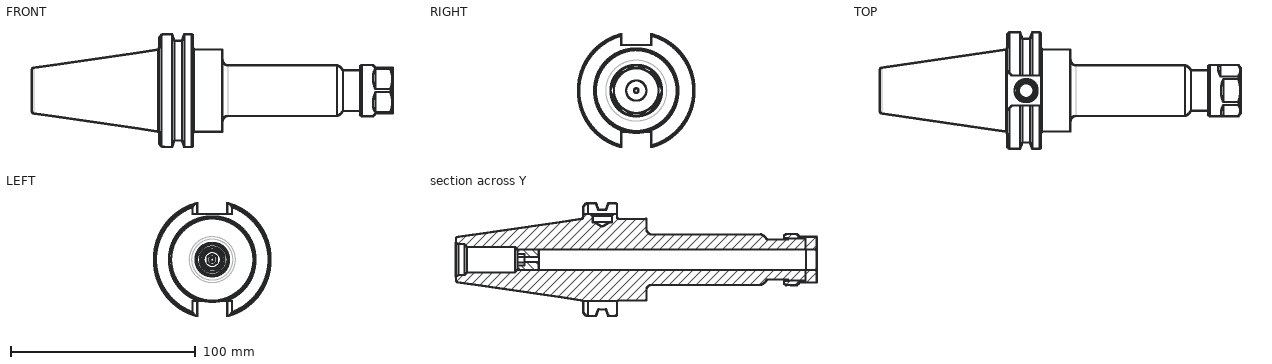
import cadquery as cq
import math

total_length = 195.3

taper_rate = 7 / 24
gauge_x = 68.3
gauge_dia = 44.5
taper_end_dia = gauge_dia - taper_rate * gauge_x
taper_end_round = 1.4

flange_x = 69.0
flange_end_x = 87.3
flange_dia = 63.3
flange_seat_dia = 46.9
flange_front_chamfer = 1.2
flange_back_chamfer = 0.8
groove_center_x = 79.18
groove_floor_width = 4.1
groove_floor_dia = 56.5
groove_flank_width = 1.27

slot_width = 16.2
slot_entry_chamfer = 2.5
top_slot_floor = 24.8
bottom_slot_floor = 22.5

chip_hole_mouth_dia = 12.5
chip_hole_dia = 10.2
chip_hole_depth = 4.5
drill_point_dia = 8.0
drill_point_angle = 118.0

collar_dia = gauge_dia
collar_root_chamfer = 0.5
collar_edge_chamfer = 0.4
collar_end_x = 103.3
extension_dia = 27.5
extension_end_x = 168.3
extension_root_round = 2.7
neck_dia = 22.0
extension_end_length = 3.1
extension_end_bulge = 0.4
nose_dia = 23.0
nose_start_x = 179.6
nose_end_x = 189.4

bore_mouth_dia = 18.2
bore_mouth_depth = 1.5
pilot_dia = 16.4
pilot_end_x = 4.7
thread_dia = 13.5
thread_start_x = 6.0
thread_end_x = 32.0
through_bore_dia = 11.0

screw_length = 11.7
screw_chamfer = 0.8
screw_socket_width = 5.3
screw_socket_depth = 4.0
screw_hole_dia = 2.3

nut_x = 177.5
nut_dia = 28.0
nut_back_chamfer_length = 1.2
nut_back_chamfer_depth = 0.8
nut_face_chamfer_length = 1.4
nut_face_chamfer_depth = 1.85
nut_flat_distance = 12.5
nut_flat_x = 185.9
nut_long_flat_x = 184.3
nut_flat_count = 6
nut_long_flat_index = 5


def revolve_about_x(outline):
    return outline.close().revolve(360, (0, 0, 0), (1, 0, 0))


def cylinder_on_x(start_x, end_x, dia):
    return cq.Workplane("YZ", origin=(start_x, 0, 0)).circle(dia / 2).extrude(end_x - start_x)


def holder_blank():
    """Taper, flange, collar, extension and nose as one turned shape."""
    flange_r = flange_dia / 2
    floor_r = groove_floor_dia / 2
    floor_start = groove_center_x - groove_floor_width / 2
    floor_end = groove_center_x + groove_floor_width / 2
    collar_r = collar_dia / 2
    extension_r = extension_dia / 2
    root_x = collar_end_x + extension_root_round
    root_r = extension_r + extension_root_round
    shoulder_x = extension_end_x - extension_end_length
    outline = (
        cq.Workplane("XY")
        .moveTo(0, 0)
        .lineTo(0, taper_end_dia / 2)
        .lineTo(gauge_x, gauge_dia / 2)
        .lineTo(flange_x, flange_seat_dia / 2)
        .lineTo(flange_x, flange_r - flange_front_chamfer)
        .lineTo(flange_x + flange_front_chamfer, flange_r)
        .lineTo(floor_start - groove_flank_width, flange_r)
        .lineTo(floor_start, floor_r)
        .lineTo(floor_end, floor_r)
        .lineTo(floor_end + groove_flank_width, flange_r)
        .lineTo(flange_end_x - flange_back_chamfer, flange_r)
        .lineTo(flange_end_x, flange_r - flange_back_chamfer)
        .lineTo(flange_end_x, collar_r + collar_root_chamfer)
        .lineTo(flange_end_x + collar_root_chamfer, collar_r)
        .lineTo(collar_end_x - collar_edge_chamfer, collar_r)
        .lineTo(collar_end_x, collar_r - collar_edge_chamfer)
        .lineTo(collar_end_x, root_r)
        .radiusArc((root_x, extension_r), -extension_root_round)
        .lineTo(shoulder_x, extension_r)
        .sagittaArc((extension_end_x, neck_dia / 2), extension_end_bulge)
        .lineTo(nose_start_x, neck_dia / 2)
        .lineTo(nose_start_x, nose_dia / 2)
        .lineTo(nose_end_x, nose_dia / 2)
        .lineTo(nose_end_x, 0)
    )
    return revolve_about_x(outline).faces("<X").edges().fillet(taper_end_round)


def holder_bore():
    """Stepped drawbar bore that narrows to the through bore."""
    through_start_x = thread_end_x + (thread_dia - through_bore_dia) / 2
    outline = (
        cq.Workplane("XY")
        .moveTo(0, 0)
        .lineTo(0, bore_mouth_dia / 2)
        .lineTo(bore_mouth_depth, pilot_dia / 2)
        .lineTo(pilot_end_x, pilot_dia / 2)
        .lineTo(thread_start_x, thread_dia / 2)
        .lineTo(thread_end_x, thread_dia / 2)
        .lineTo(through_start_x, through_bore_dia / 2)
        .lineTo(nose_end_x, through_bore_dia / 2)
        .lineTo(nose_end_x, 0)
    )
    return revolve_about_x(outline)


def drive_slot(floor, side):
    """Slot across the flange with a widened entry; side is +1 at the top, -1 at the bottom."""
    half = slot_width / 2
    entry_half = half + slot_entry_chamfer
    return (
        cq.Workplane("XY", origin=(0, 0, side * floor))
        .moveTo(gauge_x, -entry_half)
        .lineTo(flange_x, -entry_half)
        .lineTo(flange_x + slot_entry_chamfer, -half)
        .lineTo(flange_end_x, -half)
        .lineTo(flange_end_x, half)
        .lineTo(flange_x + slot_entry_chamfer, half)
        .lineTo(flange_x, entry_half)
        .lineTo(gauge_x, entry_half)
        .close()
        .extrude(side * flange_dia)
    )


def chip_hole():
    """Chamfered blind hole with a drill point in its floor."""
    mouth_chamfer = (chip_hole_mouth_dia - chip_hole_dia) / 2
    floor_z = top_slot_floor - chip_hole_depth
    point_depth = drill_point_dia / 2 / math.tan(math.radians(drill_point_angle / 2))
    return (
        cq.Workplane("XZ", origin=(groove_center_x, 0, 0))
        .moveTo(0, top_slot_floor)
        .lineTo(chip_hole_mouth_dia / 2, top_slot_floor)
        .lineTo(chip_hole_dia / 2, top_slot_floor - mouth_chamfer)
        .lineTo(chip_hole_dia / 2, floor_z)
        .lineTo(drill_point_dia / 2, floor_z)
        .lineTo(0, floor_z - point_depth)
        .close()
        .revolve(360, (0, 0, 0), (0, 1, 0))
    )


def make_holder():
    return (
        holder_blank()
        .cut(holder_bore())
        .cut(drive_slot(top_slot_floor, 1))
        .cut(drive_slot(bottom_slot_floor, -1))
        .cut(chip_hole())
    )


def make_stop_screw():
    """Hollow set screw at the inner end of the drawbar bore, with its socket facing -X."""
    start_x = thread_end_x + (thread_dia - through_bore_dia) / 2
    corner_dia = screw_socket_width / math.cos(math.radians(30))
    socket = (
        cq.Workplane("YZ", origin=(start_x, 0, 0))
        .transformed(rotate=(0, 0, 90))
        .polygon(6, corner_dia)
        .extrude(screw_socket_depth)
    )
    screw = cylinder_on_x(start_x, start_x + screw_length, through_bore_dia).faces("<X").chamfer(screw_chamfer)
    return screw.cut(socket).cut(cylinder_on_x(start_x, start_x + screw_length, screw_hole_dia))


def nut_flat(index, start_x):
    """Cutter for one wrench flat, with a 45 degree run-out at its inner end."""
    runout = nut_dia
    return (
        cq.Workplane("XZ", origin=(0, nut_dia / 2, 0))
        .moveTo(start_x, nut_flat_distance)
        .lineTo(total_length, nut_flat_distance)
        .lineTo(total_length, nut_flat_distance + runout)
        .lineTo(start_x - runout, nut_flat_distance + runout)
        .close()
        .extrude(nut_dia)
        .rotate((0, 0, 0), (1, 0, 0), index * 360 / nut_flat_count)
    )


def make_nut():
    nut = (
        cylinder_on_x(nut_x, total_length, nut_dia)
        .faces("<X").chamfer(nut_back_chamfer_length, nut_back_chamfer_depth)
        .faces(">X").chamfer(nut_face_chamfer_length, nut_face_chamfer_depth)
        .cut(cylinder_on_x(nut_x, nose_end_x, nose_dia))
        .cut(cylinder_on_x(nose_end_x, total_length, through_bore_dia))
    )
    for index in range(nut_flat_count):
        start_x = nut_long_flat_x if index == nut_long_flat_index else nut_flat_x
        nut = nut.cut(nut_flat(index, start_x))
    return nut


holder = make_holder()
stop_screw = make_stop_screw()
nut = make_nut()

result = cq.Compound.makeCompound([holder.val(), stop_screw.val(), nut.val()])